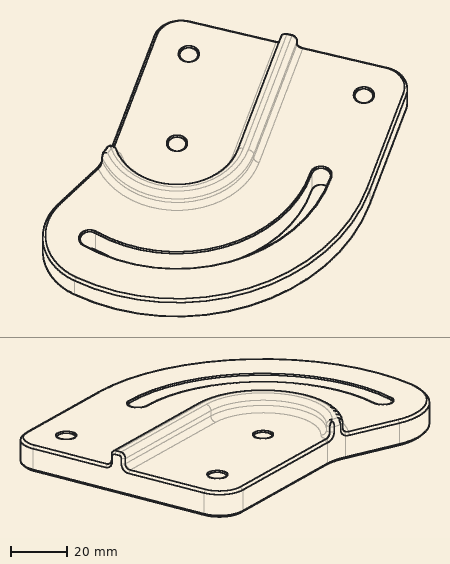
import math

import cadquery as cq

plate_thickness = 10.0
plate_top_y = 55.0
plate_left_x = -21.9
sweep_radius = 71.6
corner_radius = 10.0
edge_chamfer = 1.0

lobe_left_x = -34.74
lobe_tangent_angle = 14.0
blend_radius = 22.0
flank_angle = 23.5

hole_diameter = 6.4
corner_hole_y = 40.0
corner_hole_xs = (-7.6, 57.4)
slot_radius = 53.2
slot_width = 6.8
slot_start_angle = 1.0
slot_end_angle = -109.0
opening_chamfer = 0.5

rib_top_z = 16.0
rib_inner_radius = 22.5
rib_thickness = 5.9
rib_fillet = 2.0
rib_tip_y = -11.3

rib_outer_radius = rib_inner_radius + rib_thickness
slab_size = 4 * sweep_radius
overhang = 10.0
edge_samples = (0, 0.5, 1)
tolerance = 0.01


def polar(radius, degrees):
    angle = math.radians(degrees)
    return radius * math.cos(angle), radius * math.sin(angle)


def offset(point, step):
    return point[0] + step[0], point[1] + step[1]


tangent_sine = math.sin(math.radians(lobe_tangent_angle))
lobe_radius = (-lobe_left_x - sweep_radius * tangent_sine) / (1 - tangent_sine)
lobe_exit_angle = -90 - lobe_tangent_angle
flank_normal_angle = -180 - flank_angle
lobe_center = polar(sweep_radius - lobe_radius, lobe_exit_angle)
lobe_start = polar(sweep_radius, lobe_exit_angle)
lobe_mid = offset(lobe_center, polar(lobe_radius, (lobe_exit_angle + flank_normal_angle) / 2))
lobe_end = offset(lobe_center, polar(lobe_radius, flank_normal_angle))

flank_run = plate_left_x - lobe_end[0]
flank_corner = (plate_left_x, lobe_end[1] + flank_run / math.tan(math.radians(flank_angle)))
blend_reach = blend_radius * math.tan(math.radians(flank_angle / 2))
blend_start = offset(flank_corner, polar(blend_reach, -90 - flank_angle))
blend_end = offset(flank_corner, (0, blend_reach))
blend_center = offset(blend_end, (-blend_radius, 0))
blend_mid = offset(blend_center, polar(blend_radius, -flank_angle / 2))


def plate_outline():
    """Closed plate outline: two rounded corners, the sweep arc, the lobe and a concave blend."""
    return (
        cq.Workplane("XY")
        .moveTo(plate_left_x + corner_radius, plate_top_y)
        .lineTo(sweep_radius - corner_radius, plate_top_y)
        .radiusArc((sweep_radius, plate_top_y - corner_radius), corner_radius)
        .lineTo(sweep_radius, 0)
        .threePointArc(polar(sweep_radius, lobe_exit_angle / 2), lobe_start)
        .threePointArc(lobe_mid, lobe_end)
        .lineTo(*blend_start)
        .threePointArc(blend_mid, blend_end)
        .lineTo(plate_left_x, plate_top_y - corner_radius)
        .radiusArc((plate_left_x + corner_radius, plate_top_y), corner_radius)
        .close()
    )


def rib_outline():
    """Closed J outline, running past the plate at its top end and at its hook end."""
    rib_end_y = plate_top_y + overhang
    tip_center_radius = rib_inner_radius + rib_fillet
    tip_center_y = rib_tip_y - rib_fillet
    tip_center = (-math.sqrt(tip_center_radius**2 - tip_center_y**2), tip_center_y)
    tip_angle = math.degrees(math.atan2(-tip_center[1], -tip_center[0]))
    tip_start = polar(rib_inner_radius, tip_angle - 180)
    tip_mid = offset(tip_center, polar(rib_fillet, (tip_angle + 90) / 2))
    hook_end_x = -math.sqrt(rib_outer_radius**2 - rib_tip_y**2)
    return (
        cq.Workplane("XY")
        .moveTo(rib_inner_radius, rib_end_y)
        .lineTo(rib_inner_radius, 0)
        .threePointArc(polar(rib_inner_radius, (tip_angle - 180) / 2), tip_start)
        .threePointArc(tip_mid, (tip_center[0], rib_tip_y))
        .lineTo(hook_end_x, rib_tip_y)
        .threePointArc((0, -rib_outer_radius), (rib_outer_radius, 0))
        .lineTo(rib_outer_radius, rib_end_y)
        .close()
    )


def ribbed_slab():
    """Oversized slab carrying the rib, with its foot and top edges rounded."""
    slab = cq.Workplane("XY").box(slab_size, slab_size, plate_thickness, centered=(True, True, False))
    rib = rib_outline().extrude(rib_top_z)
    foot_region = cq.selectors.BoxSelector(
        (-sweep_radius, -sweep_radius, plate_thickness - tolerance),
        (sweep_radius, plate_top_y + 2 * overhang, plate_thickness + tolerance),
        boundingbox=True,
    )
    rounded_foot = slab.union(rib).edges(foot_region).fillet(rib_fillet)
    return rounded_foot.faces(">Z").edges().fillet(rib_fillet)


def lies_on(edge, face):
    points = [edge.positionAt(fraction) for fraction in edge_samples]
    return all(face.distance(cq.Vertex.makeVertex(*point.toTuple())) < tolerance for point in points)


def upper_rim(body, prism):
    """Edges of the body at or above the plate's upper face that lie on the prism's side walls."""
    walls = prism.faces("not |Z").vals()

    def on_rim(edge):
        is_high = edge.BoundingBox().zmin > plate_thickness - tolerance
        return is_high and any(lies_on(edge, wall) for wall in walls)

    return body.edges().filter(on_rim)


def hook_end_rounding():
    """Ring cutter that rounds the top of the rib where its hook ends flush with the blend."""
    bottom_z = rib_top_z - rib_fillet
    inner_end = blend_radius + rib_fillet
    bulge = rib_fillet * math.sqrt(0.5)
    return (
        cq.Workplane("XZ")
        .moveTo(blend_radius, bottom_z)
        .threePointArc((inner_end - bulge, bottom_z + bulge), (inner_end, rib_top_z))
        .lineTo(blend_radius, rib_top_z)
        .close()
        .revolve(360, (0, 0, 0), (0, 1, 0))
        .translate((*blend_center, 0))
    )


def slot_outline():
    """Closed curved slot about the pivot."""
    half = slot_width / 2
    inner = slot_radius - half
    outer = slot_radius + half
    middle_angle = (slot_start_angle + slot_end_angle) / 2
    start_cap = offset(polar(slot_radius, slot_start_angle), polar(half, slot_start_angle + 90))
    end_cap = offset(polar(slot_radius, slot_end_angle), polar(half, slot_end_angle - 90))
    return (
        cq.Workplane("XY")
        .moveTo(*polar(outer, slot_start_angle))
        .threePointArc(polar(outer, middle_angle), polar(outer, slot_end_angle))
        .threePointArc(end_cap, polar(inner, slot_end_angle))
        .threePointArc(polar(inner, middle_angle), polar(inner, slot_start_angle))
        .threePointArc(start_cap, polar(outer, slot_start_angle))
        .close()
    )


def openings():
    """Through holes and curved slot as one set of straight prisms."""
    hole_centers = [(0, 0)] + [(x, corner_hole_y) for x in corner_hole_xs]
    holes = cq.Workplane("XY").pushPoints(hole_centers).circle(hole_diameter / 2).extrude(plate_thickness)
    return holes.union(slot_outline().extrude(plate_thickness))


plate_prism = plate_outline().extrude(rib_top_z)
trimmed = ribbed_slab().intersect(plate_prism)
chamfered_top = upper_rim(trimmed, plate_prism).chamfer(edge_chamfer)
chamfered_plate = chamfered_top.faces("<Z").edges().chamfer(edge_chamfer)
rounded_plate = chamfered_plate.cut(hook_end_rounding())

opening_prisms = openings()
pierced = rounded_plate.cut(opening_prisms)
result = upper_rim(pierced, opening_prisms).chamfer(opening_chamfer)